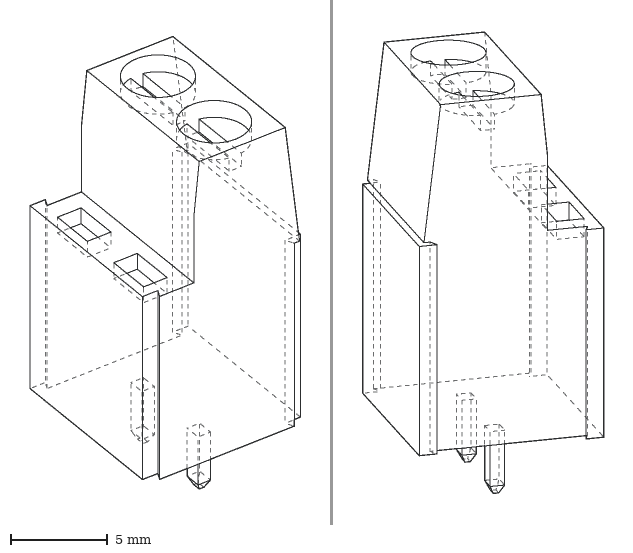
import cadquery as cq

pole_count = 2
pitch = 5.08
hook_reach = 0.5
housing_width = pole_count * pitch
housing_depth = 10.0
total_height = 22.5
pin_length = 3.5
tower_top = total_height - pin_length
base_height = 11.5

tower_front = 2.9
tower_top_front = 3.25
tower_top_rear = 8.68
tower_rear = 9.58
front_slope_height = 3.33

hook_edge_thickness = 0.97
hook_root_thickness = 0.75

screw_y = 5.96
screw_diameter = 3.9
screw_recess = 1.05
slot_width = 0.76
slot_depth = 0.8

pocket_length = 2.7
pocket_width = 1.48
pocket_y = 1.3
pocket_depth = 1.0

pin_width = 1.0
pin_thickness = 0.79
pin_y = housing_depth / 2
tip_length = 0.5
tip_width = 0.5
tip_thickness = 0.3

body_left = hook_reach
body_right = hook_reach + housing_width
pole_positions = [body_left + pitch * (i + 0.5) for i in range(pole_count)]


def make_base():
    """Base block whose hooks and notches let neighbouring blocks interlock."""
    front_edge = hook_edge_thickness
    front_root = hook_root_thickness
    rear_edge = housing_depth - hook_edge_thickness
    rear_root = housing_depth - hook_root_thickness
    outline = [
        (0, 0),
        (housing_width, 0),
        (housing_width, front_edge),
        (body_right, front_root),
        (body_right, rear_root),
        (housing_width, rear_edge),
        (housing_width, housing_depth),
        (0, housing_depth),
        (0, rear_edge),
        (body_left, rear_root),
        (body_left, front_root),
        (0, front_edge),
    ]
    return cq.Workplane("XY").polyline(outline).close().extrude(base_height)


def make_tower():
    """Tapered screw tower standing on the base."""
    profile = [
        (tower_front, base_height),
        (tower_front, tower_top - front_slope_height),
        (tower_top_front, tower_top),
        (tower_top_rear, tower_top),
        (tower_rear, base_height),
    ]
    tower = cq.Workplane("YZ").polyline(profile).close().extrude(housing_width)
    return tower.translate((body_left, 0, 0))


def make_screw_recess(x):
    """Round recess down to the screw head, with the driver slot across it."""
    head_level = tower_top - screw_recess
    axis = cq.Workplane("XY", origin=(x, screw_y, tower_top))
    head = cq.Workplane("XY", origin=(x, screw_y, head_level))
    recess = axis.circle(screw_diameter / 2).extrude(-screw_recess)
    slot = head.rect(screw_diameter, slot_width).extrude(-slot_depth)
    slot = slot.intersect(head.circle(screw_diameter / 2).extrude(-slot_depth))
    return recess.union(slot)


def make_pocket(x):
    """Rectangular pocket in the front ledge."""
    ledge = cq.Workplane("XY", origin=(x, pocket_y, base_height))
    return ledge.rect(pocket_length, pocket_width).extrude(-pocket_depth)


def make_pin(x):
    """Solder pin with a tapered tip."""
    shank_length = pin_length - tip_length
    shank = cq.Workplane("XY", origin=(x, pin_y, 0)).rect(pin_width, pin_thickness).extrude(-shank_length)
    tip = (
        cq.Workplane("XY", origin=(x, pin_y, -shank_length))
        .rect(pin_width, pin_thickness)
        .workplane(offset=-tip_length)
        .rect(tip_width, tip_thickness)
        .loft(ruled=True)
    )
    return shank.union(tip)


result = make_base().union(make_tower())
for pole_x in pole_positions:
    result = result.cut(make_screw_recess(pole_x))
    result = result.cut(make_pocket(pole_x))
    result = result.union(make_pin(pole_x))